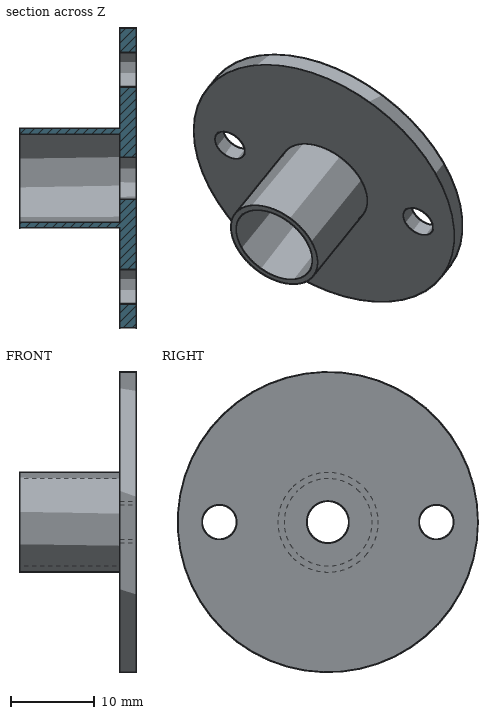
import cadquery as cq

flange_diameter = 36.0
flange_thickness = 2.0

overall_length = 14.0
tube_length = overall_length - flange_thickness
tube_outer_diameter = 12.0
tube_inner_diameter = 10.5

center_hole_diameter = 5.0
mount_hole_diameter = 4.1
mount_hole_offset = 13.0


def cylinder_along_x(diameter, start_x, length, y=0):
    """Cylinder parallel to X, growing towards +X from start_x."""
    return (
        cq.Workplane("YZ", origin=(start_x, y, 0))
        .circle(diameter / 2)
        .extrude(length)
    )


flange = cylinder_along_x(flange_diameter, 0, flange_thickness)
tube = cylinder_along_x(tube_outer_diameter, -tube_length, tube_length)

bore = cylinder_along_x(tube_inner_diameter, -tube_length, tube_length)
result = flange.union(tube).cut(bore)

result = result.cut(cylinder_along_x(center_hole_diameter, 0, flange_thickness))

for side in (-1, 1):
    mount_hole = cylinder_along_x(
        mount_hole_diameter, 0, flange_thickness, side * mount_hole_offset
    )
    result = result.cut(mount_hole)